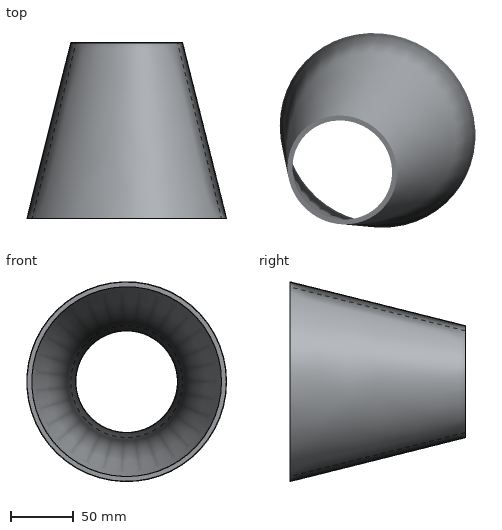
import cadquery as cq

length = 140.0
large_outer_diameter = 159.0
small_outer_diameter = 88.9
wall = 4.0

large_outer_radius = large_outer_diameter / 2
small_outer_radius = small_outer_diameter / 2


def wall_section():
    """Half section of the conical wall, with radius along X and the axis along Y."""
    return cq.Workplane("XY").polyline([
        (large_outer_radius - wall, 0),
        (large_outer_radius, 0),
        (small_outer_radius, length),
        (small_outer_radius - wall, length),
    ]).close()


result = wall_section().revolve(360, (0, 0, 0), (0, 1, 0))